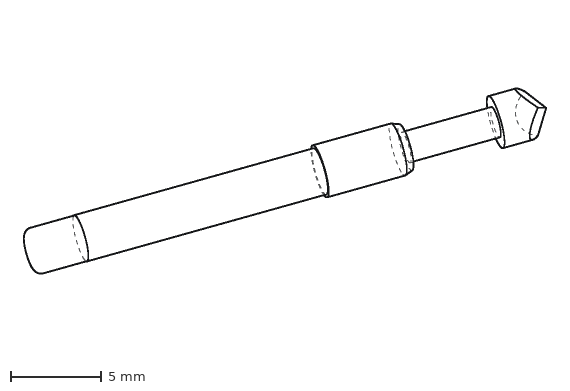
import cadquery as cq
import math

total_length = 30.3
head_diameter = 3.0
collar_diameter = head_diameter
barrel_diameter = 2.67
tail_diameter = 2.65
neck_diameter = 1.75

barrel_start = 3.0
collar_start = 17.03
collar_end = 22.05
head_start = 27.33

tail_fillet = 0.45
collar_chamfer_length = 0.45
collar_chamfer_depth = (collar_diameter - barrel_diameter) / 2

facet_count = 3
facet_angle = 45.0


def cylinder(diameter, start, end):
    """Round section on the Y axis between two positions."""
    return cq.Workplane("XZ", origin=(0, start, 0)).circle(diameter / 2).extrude(start - end)


def make_collar():
    """Collar with a tapered edge on the neck side."""
    collar = cylinder(collar_diameter, collar_start, collar_end)
    return collar.faces(">Y").edges().chamfer(collar_chamfer_length, collar_chamfer_depth)


def facet_cutter(azimuth):
    """Wedge above a sloping plane through the tip, turned about the pin axis."""
    reach = head_diameter
    drop = reach / math.tan(math.radians(facet_angle))
    wedge = (
        cq.Workplane("XY", origin=(0, total_length, -reach))
        .moveTo(-reach, drop)
        .lineTo(reach, -drop)
        .lineTo(reach, drop)
        .close()
        .extrude(2 * reach)
    )
    return wedge.rotate((0, 0, 0), (0, 1, 0), azimuth)


def make_head():
    """Cylindrical head sharpened to a point by equally spaced flat facets."""
    head = cylinder(head_diameter, head_start, total_length)
    for index in range(facet_count):
        head = head.cut(facet_cutter(index * 360 / facet_count))
    return head


tail = cylinder(tail_diameter, 0, barrel_start).faces("<Y").edges().fillet(tail_fillet)
barrel = cylinder(barrel_diameter, barrel_start, collar_start)
neck = cylinder(neck_diameter, collar_end, head_start)

result = tail.union(barrel).union(make_collar()).union(neck).union(make_head())